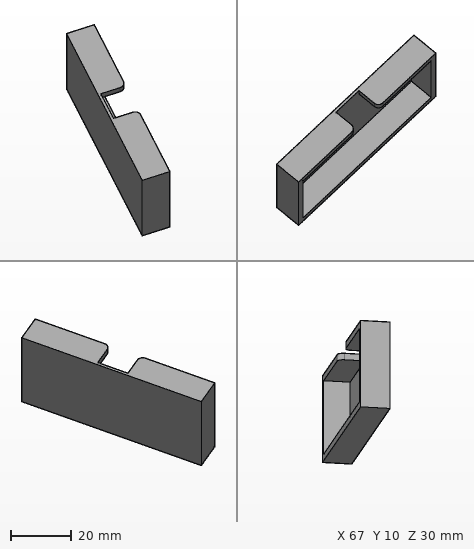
import cadquery as cq

LENGTH = 67.0
DEPTH = 10.0
HEIGHT = 30.0

FRONT_WALL = 1.0
RIM_WALL = 2.3

NOTCH_WIDTH = 11.2
NOTCH_CORNER_RADIUS = 2.0

cavity_depth = DEPTH - FRONT_WALL
inner_front_y = -DEPTH / 2 + FRONT_WALL
back_y = DEPTH / 2


def make_tray():
    """Box hollowed from the back, leaving the front and four rim walls."""
    block = cq.Workplane("XY").box(LENGTH, DEPTH, HEIGHT)
    cavity = (
        cq.Workplane("XY")
        .box(LENGTH - 2 * RIM_WALL, cavity_depth, HEIGHT - 2 * RIM_WALL)
        .translate((0, (inner_front_y + back_y) / 2, 0))
    )
    return block.cut(cavity)


def make_notch():
    """Cutter for the top wall that flares out in round corners at the back."""
    half_width = NOTCH_WIDTH / 2
    radius = NOTCH_CORNER_RADIUS
    return (
        cq.Workplane("XY", origin=(0, 0, HEIGHT / 2 - RIM_WALL))
        .moveTo(-half_width, inner_front_y)
        .lineTo(half_width, inner_front_y)
        .lineTo(half_width, back_y - radius)
        .radiusArc((half_width + radius, back_y), radius)
        .lineTo(-half_width - radius, back_y)
        .radiusArc((-half_width, back_y - radius), radius)
        .close()
        .extrude(RIM_WALL)
    )


result = make_tray().cut(make_notch())